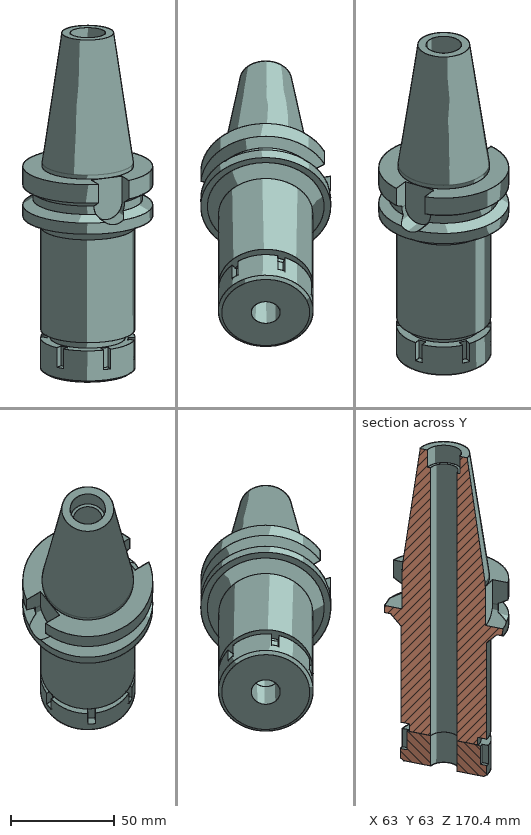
import cadquery as cq

TOTAL_LENGTH = 170.4

TAPER_LENGTH = 65.5
TAPER_SMALL_RADIUS = 12.6
TAPER_LARGE_RADIUS = 22.2
COLLAR_LENGTH = 2.0
FLANGE_TOP_DEPTH = TAPER_LENGTH + COLLAR_LENGTH
FLANGE_RADIUS = 31.5
GROOVE_RADIUS = 26.5
UPPER_FLANGE_LENGTH = 9.4
LOWER_FLANGE_LENGTH = 5.6
GROOVE_FLOOR_LENGTH = 4.3
GROOVE_SIDE_LENGTH = 2.9
SHOULDER_RADIUS = 28.3
BODY_RADIUS = 22.8
SHOULDER_LENGTH = SHOULDER_RADIUS - BODY_RADIUS
BODY_END_DEPTH = 150.0
NECK_RADIUS = 18.2

MOUTH_RADIUS = 8.5
MOUTH_DEPTH = 9.4
BORE_RADIUS = 7.0

DRIVE_SLOT_WIDTH = 16.2
DRIVE_SLOT_FLOOR = 22.3
DRIVE_SLOT_END_DEPTH = 88.5

NUT_RADIUS = 23.0
NUT_LENGTH = 16.4
NUT_CHAMFER_LENGTH = 1.2
NUT_CHAMFER_WIDTH = 1.7
NUT_SLOT_COUNT = 6
NUT_SLOT_WIDTH = 3.7
NUT_SLOT_LENGTH = 9.9
NUT_SLOT_FLOOR = 19.6


def make_turned_holder():
    """Solid of revolution: taper, grooved flange, shoulder, body and neck."""
    upper_end = FLANGE_TOP_DEPTH + UPPER_FLANGE_LENGTH
    groove_start = upper_end + GROOVE_SIDE_LENGTH
    groove_end = groove_start + GROOVE_FLOOR_LENGTH
    lower_start = groove_end + GROOVE_SIDE_LENGTH
    lower_end = lower_start + LOWER_FLANGE_LENGTH
    shoulder_end = lower_end + SHOULDER_LENGTH
    neck_end = TOTAL_LENGTH - NUT_LENGTH
    profile = [
        (0, 0),
        (TAPER_SMALL_RADIUS, 0),
        (TAPER_LARGE_RADIUS, TAPER_LENGTH),
        (TAPER_LARGE_RADIUS, FLANGE_TOP_DEPTH),
        (FLANGE_RADIUS, FLANGE_TOP_DEPTH),
        (FLANGE_RADIUS, upper_end),
        (GROOVE_RADIUS, groove_start),
        (GROOVE_RADIUS, groove_end),
        (FLANGE_RADIUS, lower_start),
        (FLANGE_RADIUS, lower_end),
        (SHOULDER_RADIUS, lower_end),
        (BODY_RADIUS, shoulder_end),
        (BODY_RADIUS, BODY_END_DEPTH),
        (NECK_RADIUS, BODY_END_DEPTH),
        (NECK_RADIUS, neck_end),
        (0, neck_end),
    ]
    points = [(radius, TOTAL_LENGTH - depth) for radius, depth in profile]
    return cq.Workplane("XZ").polyline(points).close().revolve(360, (0, 0), (0, 1))


def make_stepped_bore():
    """Cutter for the through bore and its wider mouth."""
    bore = cq.Workplane("XY").circle(BORE_RADIUS).extrude(TOTAL_LENGTH)
    mouth_floor = (0, 0, TOTAL_LENGTH - MOUTH_DEPTH)
    mouth = cq.Workplane("XY", origin=mouth_floor).circle(MOUTH_RADIUS).extrude(MOUTH_DEPTH)
    return bore.union(mouth)


def make_drive_slot():
    """Cutter for the +X drive slot: open at the flange top, round at its lower end."""
    half = DRIVE_SLOT_WIDTH / 2
    top = TOTAL_LENGTH - FLANGE_TOP_DEPTH
    end = TOTAL_LENGTH - DRIVE_SLOT_END_DEPTH
    return (
        cq.Workplane("YZ", origin=(DRIVE_SLOT_FLOOR, 0, 0))
        .moveTo(-half, top)
        .lineTo(-half, end + half)
        .threePointArc((0, end), (half, end + half))
        .lineTo(half, top)
        .close()
        .extrude(FLANGE_RADIUS)
    )


def make_holder():
    drive_slot = make_drive_slot()
    holder = make_turned_holder().cut(make_stepped_bore())
    return holder.cut(drive_slot).cut(drive_slot.mirror("YZ"))


def make_nut_slot(angle):
    """Cutter for one spanner slot, open at the top and outer side of the nut."""
    radial_depth = NUT_RADIUS - NUT_SLOT_FLOOR
    return (
        cq.Workplane("XY", origin=(NUT_SLOT_FLOOR + radial_depth / 2, 0, NUT_LENGTH - NUT_SLOT_LENGTH))
        .rect(radial_depth, NUT_SLOT_WIDTH)
        .extrude(NUT_SLOT_LENGTH)
        .rotate((0, 0, 0), (0, 0, 1), angle)
    )


def make_nut():
    profile = [
        (BORE_RADIUS, 0),
        (NUT_RADIUS - NUT_CHAMFER_WIDTH, 0),
        (NUT_RADIUS, NUT_CHAMFER_LENGTH),
        (NUT_RADIUS, NUT_LENGTH),
        (BORE_RADIUS, NUT_LENGTH),
    ]
    nut = cq.Workplane("XZ").polyline(profile).close().revolve(360, (0, 0), (0, 1))
    for index in range(NUT_SLOT_COUNT):
        nut = nut.cut(make_nut_slot(index * 360 / NUT_SLOT_COUNT))
    return nut


holder = make_holder()
nut = make_nut()
result = cq.Compound.makeCompound([holder.val(), nut.val()])